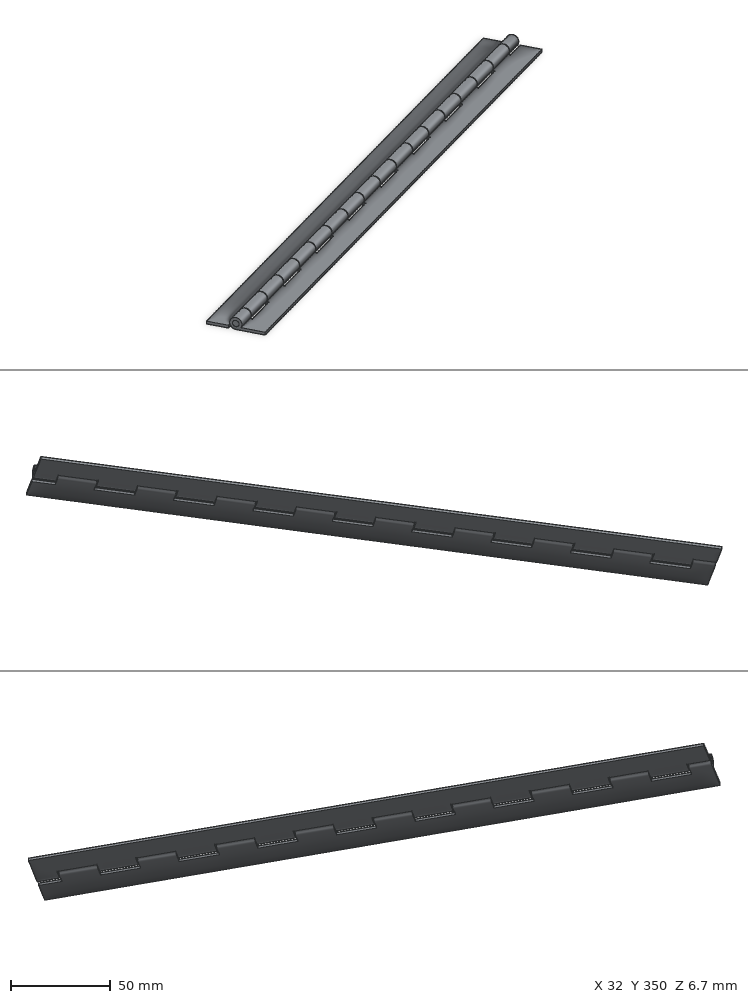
import cadquery as cq

hinge_length = 350.0
hinge_width = 32.0
leaf_thickness = 1.6
front_end = -hinge_length / 2
back_end = hinge_length / 2

barrel_diameter = 6.7
barrel_radius = barrel_diameter / 2
pin_diameter = barrel_diameter - 2 * leaf_thickness

knuckle_count = 18
knuckle_pitch = 20.4
knuckle_gap = 0.4
end_pitch = (hinge_length - (knuckle_count - 2) * knuckle_pitch) / 2

notch_clearance = 0.75
notch_reach = barrel_radius + notch_clearance


def bar_along_y(diameter, start, end):
    """Round bar on the barrel axis from Y = start to Y = end."""
    plane = cq.Workplane("XZ", origin=(0, start, barrel_radius))
    return plane.circle(diameter / 2).extrude(start - end)


def leaf_strip(side, inner_edge, start, end):
    """Flat piece of leaf on one side (+1 or -1), from inner_edge out to the leaf's free edge."""
    width = hinge_width / 2 - inner_edge
    strip = cq.Workplane("XY").box(width, end - start, leaf_thickness, centered=(True, False, False))
    return strip.translate((side * (inner_edge + width / 2), start, 0))


def knuckle_span(index):
    """Start and end in Y of one knuckle, counted from the -Y end."""
    first_joint = front_end + end_pitch
    start = first_joint + (index - 1) * knuckle_pitch + knuckle_gap / 2
    end = first_joint + index * knuckle_pitch - knuckle_gap / 2
    return max(start, front_end), min(end, back_end)


def make_leaf(side, first_knuckle):
    """Leaf plate with every second knuckle, starting at first_knuckle."""
    leaf = leaf_strip(side, notch_reach, front_end, back_end)
    for index in range(first_knuckle, knuckle_count, 2):
        start, end = knuckle_span(index)
        leaf = leaf.union(leaf_strip(side, 0, start, end))
        leaf = leaf.union(bar_along_y(barrel_diameter, start, end))
    return leaf.cut(bar_along_y(pin_diameter, front_end, back_end))


right_leaf = make_leaf(side=1, first_knuckle=0)
left_leaf = make_leaf(side=-1, first_knuckle=1)
pin = bar_along_y(pin_diameter, front_end, back_end)

result = cq.Compound.makeCompound([right_leaf.val(), left_leaf.val(), pin.val()])